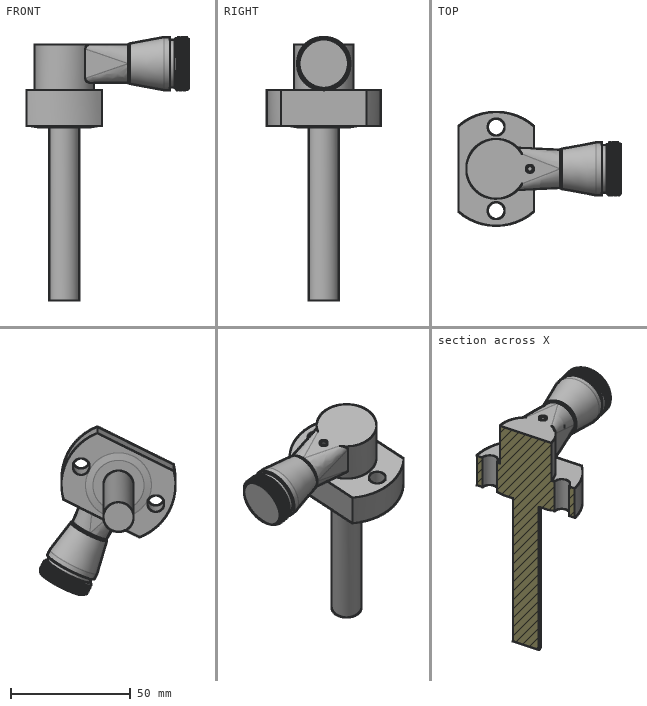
import cadquery as cq
shaft_diameter = 12.7

flange_bottom = 73.2
flange_thickness = 15.2
flange_diameter = 47.9
flange_width = 31.7
bolt_spacing = 35.1
bolt_hole_diameter = 7.0

seat_top_diameter = 27.7
seat_bottom_diameter = 21.5
seat_height = 0.5

overall_height = 110.6
connector_radius = 11.2
connector_axis_height = overall_height - connector_radius

head_diameter = 25.1
neck_radius = 8.1
flange_top = flange_bottom + flange_thickness
head_top = connector_axis_height + neck_radius

neck_start = 5.5
neck_end = 26.8
neck_start_half_width = 9.1
neck_start_corner_radius = 0.8
neck_end_flat = 0.05

flare_start = 27.5
flare_start_radius = 8.5
flare_end = 41.8
collar_end = 44.4
thread_start = 46.3
connector_end = 52.4
relief_radius = 10.1

thread_pitch = 1.5
thread_root_radius = 10.2
thread_depth = connector_radius - thread_root_radius
thread_crest_flat = 0.5
thread_root_flat = 0.2
groove_overrun = 0.3
first_groove = 46.6

vent_position = 14.2
vent_counterbore_diameter = 3.3
vent_counterbore_depth = 0.3
vent_hole_diameter = 2.4
vent_hole_depth = 2.2


def cylinder(diameter, bottom, top):
    return cq.Workplane("XY").workplane(offset=bottom).circle(diameter / 2).extrude(top - bottom)


def revolve_profile(radius_height_points):
    return cq.Workplane("XZ").polyline(radius_height_points).close().revolve(360, (0, 0), (0, 1))


def make_flange():
    disc = cylinder(flange_diameter, flange_bottom, flange_top)
    sides = cq.Workplane("XY").box(flange_width, flange_diameter, 2 * flange_top)
    return (
        disc.intersect(sides)
        .faces(">Z")
        .workplane(origin=(0, 0, 0))
        .pushPoints([(0, -bolt_spacing / 2), (0, bolt_spacing / 2)])
        .hole(bolt_hole_diameter)
    )


def make_seat():
    return (
        cq.Workplane("XY", origin=(0, 0, flange_bottom))
        .circle(seat_top_diameter / 2)
        .workplane(offset=-seat_height)
        .circle(seat_bottom_diameter / 2)
        .loft(ruled=True)
    )


def neck_section(x, half_width, corner_radius):
    plane = cq.Plane(origin=(x, 0, connector_axis_height), xDir=(0, 1, 0), normal=(1, 0, 0))
    slab = cq.Workplane(plane).rect(2 * half_width, 2 * neck_radius).extrude(1.1)
    return slab.edges("|X").fillet(corner_radius).faces("<X").wires().val()


def make_neck():
    rectangle = neck_section(neck_start, neck_start_half_width, neck_start_corner_radius)
    circle = neck_section(neck_end, neck_radius, neck_radius - neck_end_flat / 2)
    return cq.Workplane(cq.Solid.makeLoft([rectangle, circle], True))


def make_thread_groove(start, end):
    root_half = thread_root_flat / 2
    flank_width = (thread_pitch - thread_crest_flat - thread_root_flat) / 2
    flank_slope = flank_width / thread_depth
    mouth_radius = connector_radius + groove_overrun
    mouth_half = root_half + flank_slope * (mouth_radius - thread_root_radius)
    groove_section = [
        (thread_root_radius, start - root_half),
        (mouth_radius, start - mouth_half),
        (mouth_radius, start + mouth_half),
        (thread_root_radius, start + root_half),
    ]
    helix = cq.Wire.makeHelix(thread_pitch, end - start, thread_root_radius, cq.Vector(0, 0, start))
    return cq.Workplane("XZ").polyline(groove_section).close().sweep(cq.Workplane(helix), isFrenet=True)


def make_thread():
    groove_start = first_groove - 2 * thread_pitch
    groove_end = connector_end + thread_pitch
    blank = cylinder(2 * connector_radius, groove_start - thread_pitch, groove_end + thread_pitch)
    trim = revolve_profile(
        [
            (0, collar_end),
            (relief_radius, collar_end),
            (relief_radius, thread_start),
            (thread_root_radius, thread_start),
            (connector_radius, thread_start + thread_depth),
            (connector_radius, connector_end - thread_depth),
            (thread_root_radius, connector_end),
            (0, connector_end),
        ]
    )
    return blank.cut(make_thread_groove(groove_start, groove_end)).intersect(trim)


def make_connector():
    flare_and_collar = revolve_profile(
        [
            (0, neck_end),
            (neck_radius, neck_end),
            (flare_start_radius, flare_start),
            (connector_radius, flare_end),
            (connector_radius, collar_end),
            (0, collar_end),
        ]
    )
    upright = flare_and_collar.union(make_thread())
    return upright.rotate((0, 0, 0), (0, 1, 0), 90).translate((0, 0, connector_axis_height))


def cut_vent(body):
    top_plane = cq.Workplane("XY", origin=(vent_position, 0, head_top))
    return body.copyWorkplane(top_plane).cboreHole(
        vent_hole_diameter,
        vent_counterbore_diameter,
        vent_counterbore_depth,
        vent_hole_depth,
    )


body = (
    cylinder(shaft_diameter, 0, flange_bottom)
    .union(make_flange())
    .union(make_seat())
    .union(cylinder(head_diameter, flange_top, head_top))
    .union(make_neck())
    .union(make_connector())
)
result = cut_vent(body)